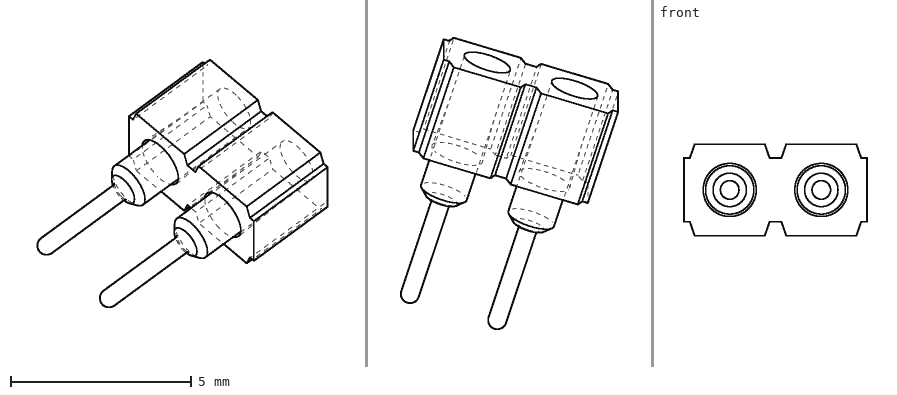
import cadquery as cq
import math

total_length = 7.37
housing_width = 5.08
position_count = 2
housing_depth = 2.8
housing_height = 2.54
pitch = housing_width / position_count

notch_depth = 0.38
notch_floor_half_width = 0.16
notch_mouth_half_width = 0.295

barrel_radius = 0.67
barrel_projection = 1.2
cone_length = 0.21
cone_end_radius = 0.465
tail_radius = 0.26
tail_fillet = 0.17

hole_mouth_radius = 0.74
hole_taper_depth = 1.4

pin_centers = [(i - (position_count - 1) / 2) * pitch for i in range(position_count)]


def revolve_about_y(profile):
    """Revolve a closed (radius, y) profile about the Y axis."""
    return profile.close().revolve(360, (0, 0, 0), (0, 1, 0))


def make_pin():
    """Barrel flush with the housing back, conical shoulder and round-tipped tail."""
    barrel_end = -housing_depth - barrel_projection
    cone_end = barrel_end - cone_length
    fillet_end = cone_end - tail_fillet
    tip_start = -total_length + tail_radius
    diagonal = math.sqrt(0.5)
    fillet_center_radius = tail_radius + tail_fillet
    fillet_middle = (fillet_center_radius - tail_fillet * diagonal, fillet_end + tail_fillet * diagonal)
    tip_middle = (tail_radius * diagonal, tip_start - tail_radius * diagonal)
    profile = (
        cq.Workplane("XY")
        .moveTo(0, 0)
        .lineTo(barrel_radius, 0)
        .lineTo(barrel_radius, barrel_end)
        .lineTo(cone_end_radius, cone_end)
        .lineTo(fillet_center_radius, cone_end)
        .threePointArc(fillet_middle, (tail_radius, fillet_end))
        .lineTo(tail_radius, tip_start)
        .threePointArc(tip_middle, (0, -total_length))
    )
    return revolve_about_y(profile)


def make_pin_hole():
    """Cutter for a hole that fits the barrel at the back and widens toward the front."""
    taper_start = -housing_depth + hole_taper_depth
    profile = (
        cq.Workplane("XY")
        .moveTo(0, 0)
        .lineTo(barrel_radius, 0)
        .lineTo(barrel_radius, taper_start)
        .lineTo(hole_mouth_radius, -housing_depth)
        .lineTo(0, -housing_depth)
    )
    return revolve_about_y(profile)


def make_notch(x, side):
    """Cutter for one notch at x, in the top (side = 1) or bottom (side = -1) face."""
    face_z = side * housing_height / 2
    floor_z = face_z - side * notch_depth
    return (
        cq.Workplane("XZ")
        .polyline([
            (x - notch_mouth_half_width, face_z),
            (x - notch_floor_half_width, floor_z),
            (x + notch_floor_half_width, floor_z),
            (x + notch_mouth_half_width, face_z),
        ])
        .close()
        .extrude(housing_depth)
    )


def make_housing():
    """Notched block with a through hole for each pin."""
    block = cq.Workplane("XZ").rect(housing_width, housing_height).extrude(housing_depth)
    for boundary in range(position_count + 1):
        notch_x = boundary * pitch - housing_width / 2
        for side in (-1, 1):
            block = block.cut(make_notch(notch_x, side))
    for x in pin_centers:
        block = block.cut(make_pin_hole().translate((x, 0, 0)))
    return block


housing = make_housing()
pins = [make_pin().translate((x, 0, 0)) for x in pin_centers]

result = cq.Compound.makeCompound([housing.val(), *[pin.val() for pin in pins]])